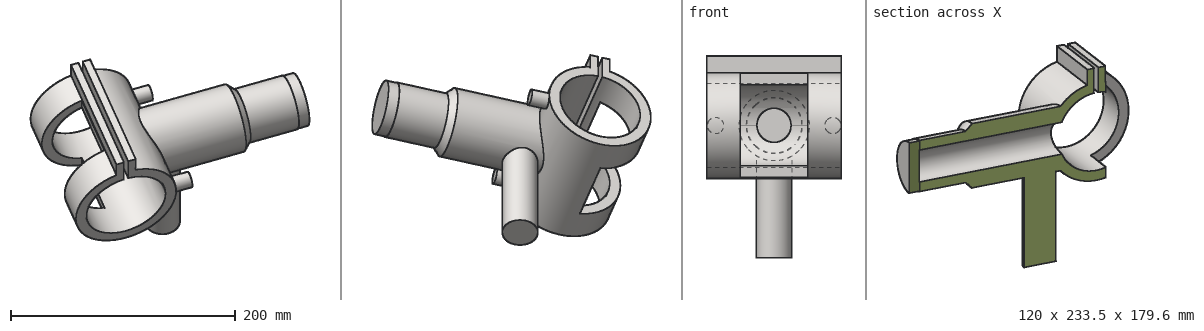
import cadquery as cq

total_length = 233.5
clamp_width = 120.0
lug_top = 61.6
handle_bottom = -118.0

ring_radius = 47.5
bore_radius = 37.4
lug_half_span = 9.0
slit_width = 4.0
window_width = 60.0
window_edge_y = -9.5

shank_end_y = total_length - ring_radius
shank_radius = 31.3
neck_radius = 25.0
shank_bore_radius = 15.2
shoulder_start_y = 123.8
shoulder_end_y = 130.3

cap_radius = 24.5
cap_thickness = 10.0
neck_end_y = shank_end_y - cap_thickness

handle_radius = 15.9
handle_y = 55.8
peg_radius = 7.2
peg_spacing = 104.4
peg_length = 15.6


def x_cylinder(radius, length):
    """Cylinder on the clamp axis, centred on X = 0."""
    return cq.Workplane("YZ", origin=(-length / 2, 0, 0)).circle(radius).extrude(length)


def y_cylinder(radius, start_y, end_y, x=0):
    """Cylinder parallel to Y, at height Z = 0."""
    profile = cq.Workplane("XZ", origin=(x, start_y, 0)).circle(radius)
    return profile.extrude(start_y - end_y)


def make_shank():
    """Solid stepped shank with a conical shoulder, starting at the clamp axis."""
    half_profile = [
        (0, 0),
        (shank_radius, 0),
        (shank_radius, shoulder_start_y),
        (neck_radius, shoulder_end_y),
        (neck_radius, neck_end_y),
        (0, neck_end_y),
    ]
    return cq.Workplane("XY").polyline(half_profile).close().revolve(360, (0, 0, 0), (0, 1, 0))


def make_handle():
    """Vertical round bar from the shank axis downward."""
    return cq.Workplane("XY", origin=(0, handle_y, 0)).circle(handle_radius).extrude(handle_bottom)


def make_lug_block():
    """Block above the ring that the slit divides into two clamping lugs."""
    profile = cq.Workplane("XY").rect(clamp_width, 2 * lug_half_span)
    return profile.extrude(lug_top)


def make_slit():
    """Slit through the top of the ring, between the lugs."""
    return cq.Workplane("XY").rect(clamp_width, slit_width).extrude(lug_top)


def make_window():
    """Opening in the middle of the ring wall, on the side away from the shank."""
    depth = ring_radius + window_edge_y
    centre_y = window_edge_y - depth / 2
    return cq.Workplane("XY").box(window_width, depth, 2 * ring_radius).translate((0, centre_y, 0))


def make_housing():
    """Clamp ring, shank, handle and pegs in one piece."""
    body = x_cylinder(ring_radius, clamp_width).union(make_lug_block())
    body = body.union(make_shank()).union(make_handle())
    for side in (-1, 1):
        peg = y_cylinder(peg_radius, bore_radius, ring_radius + peg_length, side * peg_spacing / 2)
        body = body.union(peg)
    body = body.cut(x_cylinder(bore_radius, clamp_width))
    body = body.cut(make_slit()).cut(make_window())
    return body.cut(y_cylinder(shank_bore_radius, 0, neck_end_y))


def make_cap():
    """Round disc seated on the end of the shank neck."""
    return y_cylinder(cap_radius, neck_end_y, shank_end_y)


housing = make_housing()
cap = make_cap()
result = cq.Compound.makeCompound([housing.solids().val(), cap.val()])